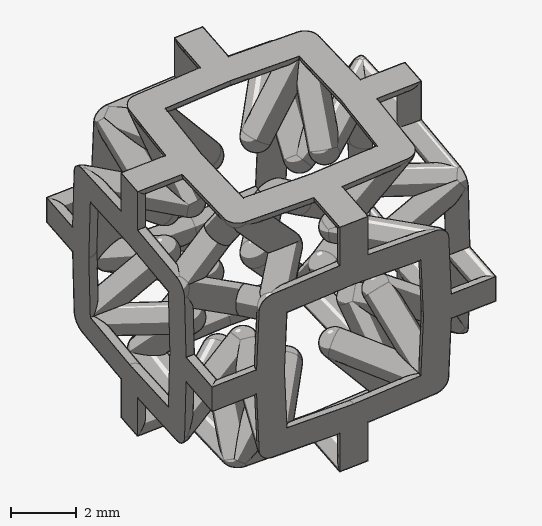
import cadquery as cq

cell_size = 10.0
strut_diameter = 1.0

ring_corner_offset = 2.84
ring_middle_offset = 2.95
inner_node_near = 0.86
inner_node_far = 2.38

half_cell = cell_size / 2
strut_radius = strut_diameter / 2

ring_corner = (half_cell, ring_corner_offset, ring_corner_offset)
ring_middle_a = (half_cell, ring_middle_offset, 0)
ring_middle_b = (half_cell, 0, ring_middle_offset)
edge_middle_a = (half_cell, half_cell, 0)
edge_middle_b = (half_cell, 0, half_cell)
inner_node_a = (inner_node_far, inner_node_near, inner_node_far)
inner_node_b = (inner_node_far, inner_node_far, inner_node_near)


def node_ball(node):
    """Ball that rounds the meeting of struts at a node."""
    return cq.Workplane("XY").sphere(strut_radius).translate(node).val()


def strut(start, end):
    """Round bar between two nodes."""
    start_point = cq.Vector(*start)
    run = cq.Vector(*end) - start_point
    return cq.Solid.makeCylinder(strut_radius, run.Length, start_point, run)


def x_face_bodies():
    """Struts and balls of one octant that hang on the +X face."""
    return [
        strut(ring_middle_a, ring_corner),
        strut(ring_corner, ring_middle_b),
        node_ball(ring_corner),
        strut(ring_middle_a, edge_middle_a),
        strut(ring_middle_b, edge_middle_b),
        strut(ring_corner, inner_node_a),
        strut(ring_corner, inner_node_b),
        node_ball(inner_node_a),
    ]


def octant():
    """One eighth of the cell: the +X bodies turned onto all three faces, then trimmed."""
    diagonal_start = cq.Vector(0, 0, 0)
    diagonal_end = cq.Vector(1, 1, 1)
    bodies = []
    for turn in (0, 120, 240):
        bodies += [body.rotate(diagonal_start, diagonal_end, turn) for body in x_face_bodies()]
    first_body, *other_bodies = bodies
    struts = cq.Workplane(first_body.fuse(*other_bodies))
    octant_box = cq.Workplane("XY").box(half_cell, half_cell, half_cell, centered=False)
    return struts.intersect(octant_box)


result = octant()
for mirror_plane in ("XY", "XZ", "YZ"):
    result = result.union(result.mirror(mirror_plane))